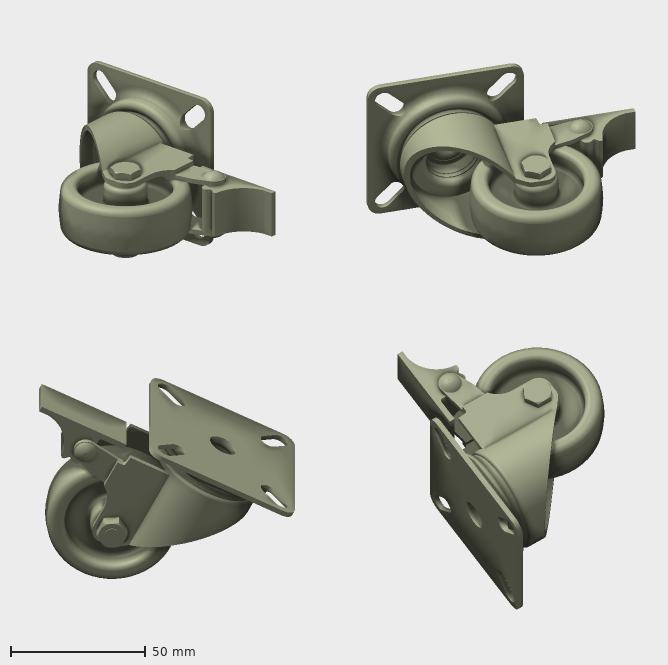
import cadquery as cq
import math


plate_size = 60.0
plate_thickness = 2.0
plate_corner_radius = 5.0
slot_width = 6.4
slot_outer_offset = 24.1
slot_inner_offset = 19.0

centre_hole_radius = 5.5
dome_base_radius = 26.5
dome_radius = 23.0
dome_foot_radius = 20.4
dome_base_fillet = dome_base_radius - dome_radius
dome_edge_fillet = dome_radius - dome_foot_radius
dome_waist_y = -plate_thickness - dome_base_fillet
dome_foot_y = dome_waist_y - dome_edge_fillet
ring_radius = 19.6
ring_top_radius = 18.8
ring_bend_radius = 19.4
ring_bend_y = -9.3
groove_radius = 19.2
groove_top_y = -10.7
groove_bottom_y = -11.3

fork_radius = 20.4
fork_wall = 2.0
fork_shoulder_y = -12.7
fork_inner_radius = fork_radius - fork_wall
ear_outer_z = 13.4
ear_thickness = 2.2
ear_inner_z = ear_outer_z - ear_thickness
ear_top_y = -13.9
ear_start_x = math.sqrt(fork_radius**2 - ear_outer_z**2)
ear_root_x = math.sqrt(fork_inner_radius**2 - ear_inner_z**2)
ear_margin = 6.8
ear_corner_radius = 5.0
ear_notch_top_x = 31.6
ear_notch_bottom_x = 32.1
ear_notch_y = -17.9
ear_notch_fillet = 0.9
ear_tip_x = 35.0
ear_tip_bottom_y = -29.0
ear_hollow_start_y = -37.2
fork_back_y = -18.0
fork_slope = 0.815

floor_y = -14.8
floor_radius = 16.4
floor_edge = 0.8
gutter_y = -12.5
gutter_fillet = fork_inner_radius - floor_radius - floor_edge
bore_mouth_radius = 12.2
bore_lip_radius = 10.5
bore_lip_y = -12.0
bore_groove_y = -11.4
bore_radius = 10.1
bore_step_y = -9.6
race_y = -4.5
race_radius = 9.1
race_edge = 0.7
race_inner_radius = 7.8
collar_radius = 7.4
collar_step = 0.3

overall_height = 69.0
wheel_radius = 24.95
wheel_x = 24.0
wheel_y = wheel_radius - overall_height
wheel_half_width = 9.5
tread_half_width = 7.1
tread_edge_radius = 24.4
rim_outer_radius = 21.4
rim_inner_radius = 20.0
recess_radius = 17.8
recess_rounding = rim_inner_radius - recess_radius
web_radius = 16.0
web_fillet = recess_radius - web_radius
web_half_width = 1.8
hub_radius = 8.2
hub_half_width = 10.8
hub_base_radius = 9.7
hub_base_fillet = hub_base_radius - hub_radius
hub_fillet = 2.0

ear_bottom_y = wheel_y - ear_margin
ear_right_x = wheel_x + ear_margin
slope_end_x = (fork_back_y - ear_bottom_y) / fork_slope - fork_radius

axle_radius = 3.0
hex_across_flats = 10.1
hex_corner_radius = hex_across_flats / math.sqrt(3)
hex_chamfer_angle = 30
head_height = 3.0
nut_height = 5.0
thread_end = 0.3

arm_outer_z = 11.3
arm_thickness = 1.9
arm_inner_z = arm_outer_z - arm_thickness
joggle_start_x = 32.8
arm_top_y = -17.7
arm_bottom_y = -28.7
arm_bend_x = 42.2
arm_bend_y = -27.2
arm_end_radius = 4.5
rivet_x = 47.1
rivet_y = -20.5
rivet_head_radius = 4.2
rivet_flat_radius = 0.9
rivet_head_height = 2.0
rivet_shank_radius = 2.0
pedal_half_width = 8.9
pedal_left_x = 34.4
pedal_right_x = 69.81
pedal_top_y = -11.8
pedal_bar_y = -14.0


def arc_middle(start, end, centre):
    """Point halfway along the short arc from start to end about centre."""
    radius = math.dist(start, centre)
    dx = (start[0] + end[0]) / 2 - centre[0]
    dy = (start[1] + end[1]) / 2 - centre[1]
    length = math.hypot(dx, dy)
    return (centre[0] + radius * dx / length, centre[1] + radius * dy / length)


def arc_to(sketch, start, end, centre):
    """Continue the sketch along the short arc from start to end about centre."""
    return sketch.threePointArc(arc_middle(start, end, centre), end)


def slab(outline, z_low, z_high):
    """Extrude an XY outline between two Z levels."""
    return outline.extrude(z_high - z_low).translate((0, 0, z_low))


def mirrored(body):
    """The body together with its mirror image across the Z = 0 plane."""
    return body.union(body.mirror("XY"))


def mounting_plate():
    return (
        cq.Workplane("XZ")
        .rect(plate_size, plate_size)
        .circle(centre_hole_radius)
        .extrude(plate_thickness)
        .edges("|Y and (>X or <X)")
        .fillet(plate_corner_radius)
    )


def corner_slots():
    """Four diagonal slots, cut through the plate and the rim of the dome."""
    slot_length = (slot_outer_offset - slot_inner_offset) * math.sqrt(2) + slot_width
    middle_radius = (slot_outer_offset + slot_inner_offset) / math.sqrt(2)
    return (
        cq.Workplane("XZ")
        .polarArray(middle_radius, 45, 360, 4)
        .slot2D(slot_length, slot_width)
        .extrude(-dome_foot_y)
    )


def swivel_ring():
    """Dome, neck, fork top and bearing bore, turned as one profile about Y."""
    dome_base = (dome_base_radius, -plate_thickness)
    dome_waist = (dome_radius, dome_waist_y)
    dome_foot = (dome_foot_radius, dome_foot_y)
    ring_top_y = dome_waist_y - math.sqrt(dome_edge_fillet**2 - (dome_foot_radius - ring_top_radius) ** 2)
    profile = cq.Workplane("XY").moveTo(centre_hole_radius, 0).lineTo(dome_base_radius, 0).lineTo(*dome_base)
    profile = arc_to(profile, dome_base, dome_waist, (dome_base_radius, dome_waist_y))
    profile = profile.threePointArc(dome_foot, (ring_top_radius, ring_top_y))
    profile = profile.threePointArc((ring_bend_radius, ring_bend_y), (ring_radius, groove_top_y))
    profile = profile.lineTo(groove_radius, groove_top_y).lineTo(groove_radius, groove_bottom_y)

    fork_shoulder = (fork_radius, fork_shoulder_y)
    fork_bend = (
        groove_radius + (fork_radius - groove_radius) * math.sin(math.pi / 4),
        fork_shoulder_y + (groove_bottom_y - fork_shoulder_y) * math.sin(math.pi / 4),
    )
    profile = profile.threePointArc(fork_bend, fork_shoulder)
    profile = profile.lineTo(fork_radius, ear_top_y)

    wall_end = (fork_inner_radius, gutter_y - gutter_fillet)
    gutter = (fork_inner_radius - gutter_fillet, gutter_y)
    floor_side = (floor_radius + floor_edge, floor_y + floor_edge)
    floor_rim = (floor_radius, floor_y)
    profile = profile.lineTo(fork_inner_radius, ear_top_y).lineTo(*wall_end)
    profile = arc_to(profile, wall_end, gutter, (gutter[0], wall_end[1]))
    profile = profile.lineTo(*floor_side)
    profile = arc_to(profile, floor_side, floor_rim, (floor_radius, floor_side[1]))

    mouth_bend = (
        bore_mouth_radius - (bore_mouth_radius - bore_lip_radius) * math.sin(math.pi / 4),
        bore_lip_y + (floor_y - bore_lip_y) * math.sin(math.pi / 4),
    )
    profile = profile.lineTo(bore_mouth_radius, floor_y).threePointArc(mouth_bend, (bore_lip_radius, bore_lip_y))

    race_side = (race_radius + race_edge, race_y - race_edge)
    race_rim = (race_radius, race_y)
    profile = profile.lineTo(bore_lip_radius, bore_groove_y).lineTo(bore_radius, bore_groove_y)
    profile = profile.lineTo(bore_radius, bore_step_y).lineTo(race_side[0], bore_step_y).lineTo(*race_side)
    profile = arc_to(profile, race_side, race_rim, (race_radius, race_side[1]))

    collar_y = race_y + collar_step
    collar_round = collar_radius - centre_hole_radius
    collar = (collar_radius, collar_y)
    collar_end = (centre_hole_radius, collar_y + collar_round)
    profile = profile.lineTo(race_inner_radius, race_y).lineTo(race_inner_radius, collar_y).lineTo(*collar)
    profile = arc_to(profile, collar, collar_end, (collar_radius, collar_end[1]))
    return profile.close().revolve(360, (0, 0, 0), (0, 1, 0))


def slope_y(x):
    """Height of the fork's sloping lower edge."""
    return fork_back_y - fork_slope * (x + fork_radius)


def fork_tube():
    """The tube wall behind the ears, trimmed along the sloping lower edge."""
    tube = (
        cq.Workplane("XZ", origin=(0, fork_shoulder_y, 0))
        .circle(fork_radius)
        .circle(fork_inner_radius)
        .extrude(overall_height)
    )
    side = cq.Workplane("XY").polyline(
        [
            (-fork_radius, fork_shoulder_y),
            (ear_start_x, fork_shoulder_y),
            (ear_start_x, slope_y(ear_start_x)),
            (-fork_radius, fork_back_y),
        ]
    ).close()
    wall = tube.intersect(slab(side, -fork_radius, fork_radius))
    opening = cq.Workplane("XY").box(
        fork_radius, overall_height, 2 * ear_inner_z, centered=(False, False, True)
    ).translate((0, ear_top_y - overall_height, 0))
    return wall.cut(opening)


def ear_outline():
    """Side outline of an ear, with its corners still sharp."""
    return (
        cq.Workplane("XY")
        .moveTo(ear_root_x, ear_top_y)
        .lineTo(ear_root_x, slope_y(ear_root_x))
        .lineTo(slope_end_x, ear_bottom_y)
        .lineTo(ear_right_x, ear_bottom_y)
        .lineTo(ear_right_x, ear_hollow_start_y)
        .tangentArcPoint((ear_tip_x, ear_tip_bottom_y), relative=False)
        .lineTo(ear_tip_x, ear_notch_y)
        .lineTo(ear_notch_bottom_x, ear_notch_y)
        .lineTo(ear_notch_top_x, ear_top_y)
        .close()
    )


def fork_ear():
    ear = slab(ear_outline(), ear_inner_z, ear_outer_z)
    corners = (
        (ear_notch_bottom_x, ear_notch_y, ear_notch_fillet),
        (slope_end_x, ear_bottom_y, ear_corner_radius),
        (ear_right_x, ear_bottom_y, ear_corner_radius),
    )
    for x, y, radius in corners:
        corner = cq.selectors.NearestToPointSelector((x, y, ear_outer_z - ear_thickness / 2))
        ear = ear.edges("|Z").edges(corner).fillet(radius)
    return ear


def joggle():
    """The wall that steps from the ear inward to the brake arm."""
    block = slab(ear_outline(), arm_inner_z, ear_outer_z)
    keep = cq.Workplane("XY").box(
        ear_tip_x - joggle_start_x, overall_height, 2 * ear_outer_z, centered=(False, True, True)
    ).translate((joggle_start_x, ear_notch_y, 0))
    return block.intersect(keep)


def tangent_point(corner, side):
    """Where a line from corner touches the rounded arm end; side is +1 above, -1 below."""
    dx = rivet_x - corner[0]
    dy = rivet_y - corner[1]
    distance = math.hypot(dx, dy)
    angle = math.atan2(-dy, -dx) - side * math.acos(arm_end_radius / distance)
    return (rivet_x + arm_end_radius * math.cos(angle), rivet_y + arm_end_radius * math.sin(angle))


def brake_arm():
    bend = (arm_bend_x, arm_bend_y)
    top = (ear_tip_x, arm_top_y)
    outline = (
        cq.Workplane("XY")
        .moveTo(ear_tip_x, arm_bottom_y)
        .lineTo(*bend)
        .lineTo(*tangent_point(bend, -1))
        .threePointArc((rivet_x + arm_end_radius, rivet_y), tangent_point(top, 1))
        .lineTo(*top)
        .close()
    )
    return slab(outline, arm_inner_z, arm_outer_z)


def rivet():
    """Domed rivet head on the arm and the half shank that reaches the middle."""
    rise = (rivet_head_radius**2 - rivet_flat_radius**2 - rivet_head_height**2) / (2 * rivet_head_height)
    base = (rivet_head_radius, arm_outer_z)
    flat = (rivet_flat_radius, arm_outer_z + rivet_head_height)
    profile = (
        cq.Workplane("XZ")
        .lineTo(rivet_shank_radius, 0)
        .lineTo(rivet_shank_radius, arm_outer_z)
        .lineTo(*base)
    )
    profile = arc_to(profile, base, flat, (0, arm_outer_z - rise))
    return (
        profile.lineTo(0, flat[1])
        .close()
        .revolve(360, (0, 0, 0), (0, 1, 0))
        .translate((rivet_x, rivet_y, 0))
    )


def pedal():
    """Flat foot bar on a curved web with two small toes underneath."""
    outline = (
        cq.Workplane("XY")
        .moveTo(pedal_left_x, pedal_bar_y)
        .lineTo(43.4, pedal_bar_y)
        .threePointArc((44.1, -14.3), (44.4, -15.0))
        .lineTo(44.4, -16.9)
        .lineTo(46.2, -26.1)
        .threePointArc((47.9, -27.4), (49.4, -27.0))
        .lineTo(50.8, -25.9)
        .lineTo(52.2, -27.2)
        .threePointArc((53.4, -27.5), (54.0, -26.6))
        .threePointArc((57.5, -18.6), (66.1, pedal_bar_y))
        .lineTo(pedal_right_x, pedal_bar_y)
        .lineTo(pedal_right_x, pedal_top_y)
        .lineTo(pedal_left_x, pedal_top_y)
        .close()
    )
    return slab(outline, -pedal_half_width, pedal_half_width)


def hexagon(height):
    """Hexagonal block on Z = 0 with its outer corners turned off at an angle."""
    block = (
        cq.Workplane("XY")
        .polygon(6, 2 * hex_corner_radius)
        .extrude(height)
        .rotate((0, 0, 0), (0, 0, 1), 30)
    )
    face_radius = hex_across_flats / 2
    drop = (hex_corner_radius - face_radius) * math.tan(math.radians(hex_chamfer_angle))
    turned = (
        cq.Workplane("XZ")
        .polyline(
            [
                (0, 0),
                (hex_corner_radius, 0),
                (hex_corner_radius, height - drop),
                (face_radius, height),
                (0, height),
            ]
        )
        .close()
        .revolve(360, (0, 0, 0), (0, 1, 0))
    )
    return block.intersect(turned)


def axle_bolt():
    head = hexagon(head_height).translate((0, 0, ear_outer_z))
    nut = hexagon(nut_height).mirror("XY").translate((0, 0, -ear_outer_z))
    end_z = -ear_outer_z - nut_height - thread_end
    shank = cq.Workplane("XY").circle(axle_radius).extrude(ear_outer_z - end_z).translate((0, 0, end_z))
    return head.union(nut).union(shank).translate((wheel_x, wheel_y, 0))


def caster_frame():
    """Plate, swivel, fork, brake and axle as one body."""
    frame = mounting_plate().union(swivel_ring()).cut(corner_slots())
    frame = frame.union(fork_tube())
    for one_side in (fork_ear(), joggle(), brake_arm(), rivet()):
        frame = frame.union(mirrored(one_side))
    return frame.union(pedal()).union(axle_bolt())


def turned_about_z(profile):
    return profile.close().revolve(360, (0, 0, 0), (0, 1, 0))


def wheel_blank():
    """Crowned tread with rounded edges and flat sides, bored for the axle."""
    edge_run = tread_edge_radius - rim_outer_radius
    edge_rise = wheel_half_width - tread_half_width
    edge_rounding = (edge_run**2 + edge_rise**2) / (2 * edge_rise)
    round_z = wheel_half_width - edge_rounding
    tread_top = (tread_edge_radius, tread_half_width)
    tread_bottom = (tread_edge_radius, -tread_half_width)
    face_top = (rim_outer_radius, wheel_half_width)
    face_bottom = (rim_outer_radius, -wheel_half_width)
    profile = cq.Workplane("XZ").moveTo(axle_radius, -wheel_half_width).lineTo(*face_bottom)
    profile = arc_to(profile, face_bottom, tread_bottom, (rim_outer_radius, -round_z))
    profile = profile.threePointArc((wheel_radius, 0), tread_top)
    profile = arc_to(profile, tread_top, face_top, (rim_outer_radius, round_z))
    return turned_about_z(profile.lineTo(axle_radius, wheel_half_width))


def side_recess():
    """Ring removed from one side of the wheel, from the bore out to the rounded rim."""
    rim = (rim_inner_radius, wheel_half_width)
    wall_top = (recess_radius, wheel_half_width - recess_rounding)
    wall_bottom = (recess_radius, web_half_width + web_fillet)
    web_edge = (web_radius, web_half_width)
    profile = cq.Workplane("XZ").moveTo(axle_radius, wheel_half_width).lineTo(*rim)
    profile = arc_to(profile, rim, wall_top, (rim_inner_radius, wall_top[1]))
    profile = profile.lineTo(*wall_bottom)
    profile = arc_to(profile, wall_bottom, web_edge, (web_radius, wall_bottom[1]))
    return turned_about_z(profile.lineTo(axle_radius, web_half_width))


def side_hub():
    """Hub boss standing on the web, with a filleted foot and a rounded end."""
    foot = (hub_base_radius, web_half_width)
    shoulder = (hub_radius, web_half_width + hub_base_fillet)
    corner = (hub_radius, hub_half_width - hub_fillet)
    face = (hub_radius - hub_fillet, hub_half_width)
    profile = (
        cq.Workplane("XZ")
        .moveTo(axle_radius, web_half_width)
        .lineTo(*foot)
    )
    profile = arc_to(profile, foot, shoulder, (foot[0], shoulder[1])).lineTo(*corner)
    profile = arc_to(profile, corner, face, (face[0], corner[1]))
    return turned_about_z(profile.lineTo(axle_radius, hub_half_width))


def wheel():
    body = wheel_blank().cut(mirrored(side_recess())).union(mirrored(side_hub()))
    return body.translate((wheel_x, wheel_y, 0))


result = cq.Compound.makeCompound([caster_frame().val(), wheel().val()])